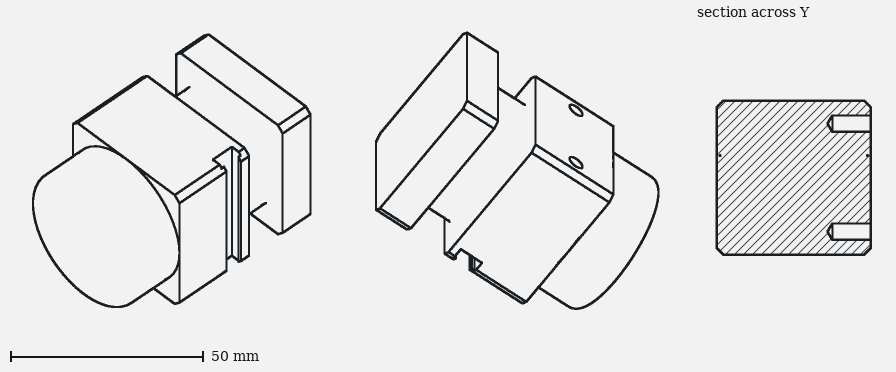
import cadquery as cq
import math

side = 40.0
corner_chamfer = 1.75
flange_length = 10.0
neck_length = 12.0
body_length = 25.0
cap_length = 15.5
neck_diameter = 36.0
neck_fillet = 1.0
cap_diameter = side
cap_fillet = 2.0

slot_center_from_back = 27.5
slot_opening = 5.2
slot_width = 6.8
slot_lip = 1.0
slot_depth = 4.3

hole_diameter = 4.13
hole_depth = 10.0
hole_tip_angle = 118.0
hole_from_back = 35.0
hole_offset = 14.0

neck_back = -flange_length
body_back = neck_back - neck_length
body_front = body_back - body_length


def square_block(back, length):
    """Square block with chamfered corners, running toward -Y from its back face."""
    return (
        cq.Workplane("XZ", origin=(0, back, 0))
        .rect(side, side)
        .extrude(length)
        .edges("|Y")
        .chamfer(corner_chamfer)
    )


def neck():
    """Round neck flaring out with a concave fillet at both ends."""
    radius = neck_diameter / 2
    flare_radius = radius + neck_fillet
    arc_inset = neck_fillet * (1 - math.sqrt(0.5))
    profile = (
        cq.Workplane("XY")
        .moveTo(0, neck_back)
        .lineTo(flare_radius, neck_back)
        .threePointArc((radius + arc_inset, neck_back - arc_inset), (radius, neck_back - neck_fillet))
        .lineTo(radius, body_back + neck_fillet)
        .threePointArc((radius + arc_inset, body_back + arc_inset), (flare_radius, body_back))
        .lineTo(0, body_back)
        .close()
    )
    return profile.revolve(360, (0, 0, 0), (0, 1, 0))


def cap():
    """Round cap with a rounded front rim."""
    return (
        cq.Workplane("XZ", origin=(0, body_front, 0))
        .circle(cap_diameter / 2)
        .extrude(cap_length)
        .faces("<Y")
        .edges()
        .fillet(cap_fillet)
    )


def slot_cut():
    """T-shaped slot running through the body along Z."""
    face_x = side / 2
    undercut_depth = slot_depth - slot_lip
    opening = cq.Workplane("XY").box(slot_depth, slot_opening, side)
    opening = opening.translate((face_x - slot_depth / 2, -slot_center_from_back, 0))
    undercut = cq.Workplane("XY").box(undercut_depth, slot_width, side)
    undercut = undercut.translate((face_x - slot_lip - undercut_depth / 2, -slot_center_from_back, 0))
    return opening.union(undercut)


def hole_cut(z):
    """Blind drilled hole with a conical bottom, entering from the -X face."""
    radius = hole_diameter / 2
    tip_length = radius / math.tan(math.radians(hole_tip_angle / 2))
    profile = (
        cq.Workplane("XY", origin=(-side / 2, -hole_from_back, z))
        .polyline([(0, 0), (0, radius), (hole_depth, radius), (hole_depth + tip_length, 0)])
        .close()
    )
    return profile.revolve(360, (0, 0, 0), (1, 0, 0))


result = square_block(0, flange_length)
result = result.union(neck())
result = result.union(square_block(body_back, body_length))
result = result.union(cap())
result = result.cut(slot_cut())
for hole_z in (-hole_offset, hole_offset):
    result = result.cut(hole_cut(hole_z))